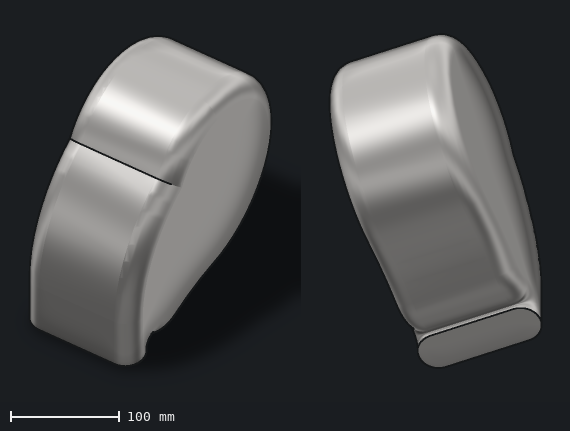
import cadquery as cq
import math

WIDTH = 120.0
EDGE_RADIUS = 19.2
REAR_RADIUS = 108.9
CROWN_RADIUS = 86.6
FRONT_Y = -146.7
SHOULDER_Z = -59.3
FOOT_Z = -115.0
LIP_THICKNESS = 39.4
NOTCH_Z = -110.5
NOTCH_RADIUS = 1.0
BULGE_Y = -77.2
BULGE_BOTTOM_Z = -120.0


def point_on(center, radius, angle):
    """Point on a circle at an angle in radians."""
    return (center[0] + radius * math.cos(angle), center[1] + radius * math.sin(angle))


def direction(start, end):
    """Angle of the line from one point to another."""
    return math.atan2(end[1] - start[1], end[0] - start[0])


def arc_middle(center, radius, start, end):
    """Middle of the shorter arc between two points on a circle."""
    chord_middle = ((start[0] + end[0]) / 2, (start[1] + end[1]) / 2)
    return point_on(center, radius, direction(center, chord_middle))


top = (0, REAR_RADIUS)
bottom = (0, -REAR_RADIUS)
rear = (REAR_RADIUS, 0)

crown_center = (0, REAR_RADIUS - CROWN_RADIUS)
shoulder_center = (0, SHOULDER_Z)
shoulder_radius = -FRONT_Y
center_gap = crown_center[1] - SHOULDER_Z
crease_rise = (shoulder_radius**2 - CROWN_RADIUS**2 + center_gap**2) / (2 * center_gap)
crease = (-math.sqrt(shoulder_radius**2 - crease_rise**2), SHOULDER_Z + crease_rise)
shoulder_end = (FRONT_Y, SHOULDER_Z)

lip_back_y = FRONT_Y + LIP_THICKNESS
notch_start = (lip_back_y, NOTCH_Z)
notch_center = (lip_back_y + NOTCH_RADIUS, NOTCH_Z)
notch_offset = BULGE_Y - notch_center[0]
notch_rise = NOTCH_Z - BULGE_BOTTOM_Z
bulge_radius = (notch_offset**2 + notch_rise**2 - NOTCH_RADIUS**2) / (2 * (notch_rise + NOTCH_RADIUS))
bulge_center = (BULGE_Y, BULGE_BOTTOM_Z + bulge_radius)
bulge_bottom = (BULGE_Y, BULGE_BOTTOM_Z)
notch_end = point_on(notch_center, NOTCH_RADIUS, direction(notch_center, bulge_center))

bulge_height = bulge_center[1] - bottom[1]
belly_radius = (BULGE_Y**2 + bulge_height**2 - bulge_radius**2) / (2 * (bulge_radius - bulge_height))
belly_center = (0, bottom[1] - belly_radius)
bulge_end = point_on(belly_center, belly_radius, direction(belly_center, bulge_center))

outline = (
    cq.Workplane("YZ", origin=(-WIDTH / 2, 0, 0))
    .moveTo(*top)
    .threePointArc(arc_middle(crown_center, CROWN_RADIUS, top, crease), crease)
    .threePointArc(arc_middle(shoulder_center, shoulder_radius, crease, shoulder_end), shoulder_end)
    .lineTo(FRONT_Y, FOOT_Z)
    .lineTo(lip_back_y, FOOT_Z)
    .lineTo(*notch_start)
    .threePointArc(arc_middle(notch_center, NOTCH_RADIUS, notch_start, notch_end), notch_end)
    .threePointArc(bulge_bottom, bulge_end)
    .threePointArc(arc_middle(belly_center, belly_radius, bulge_end, bottom), bottom)
    .threePointArc(rear, top)
    .close()
)
body = outline.extrude(WIDTH)

side_edges = body.faces("<X or >X").edges("not |Y")
result = side_edges.fillet(EDGE_RADIUS)